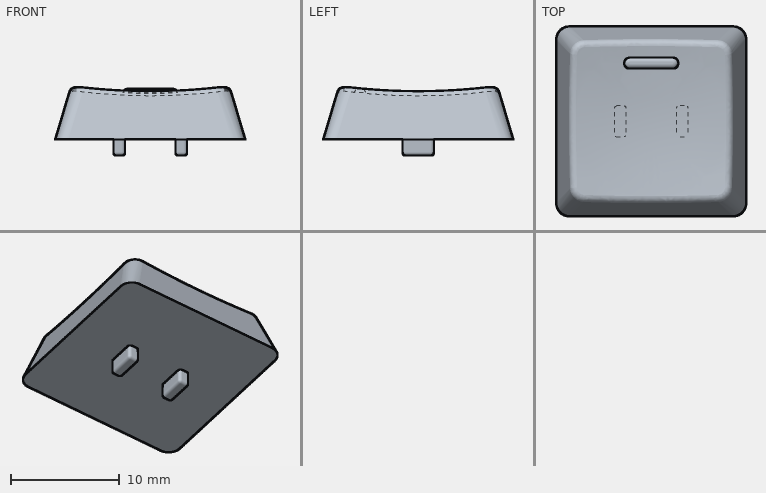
import cadquery as cq
import math

base_size = 17.5
body_height = 5.25
draft_angle = 16.6
corner_radius = 1.25
rim_radius = 0.6

dish_radius = 54.0
dish_floor = 4.01
dish_seam_angle = 45.0

bar_length = 5.0
bar_width = 1.04
bar_y = 5.36
bar_top = 4.67
bar_edge_radius = 0.43
bar_bottom = 3.0

leg_spacing = 5.7
leg_width = 1.1
leg_depth = 2.9
leg_length = 1.5
leg_edge_radius = 0.3
leg_overlap = 0.5


def rounded_square(size):
    return cq.Sketch().rect(size, size).vertices().fillet(corner_radius)


def make_body():
    top_size = base_size - 2 * body_height * math.tan(math.radians(draft_angle))
    blank = (
        cq.Workplane("XY")
        .placeSketch(
            rounded_square(base_size),
            rounded_square(top_size).moved(cq.Location(cq.Vector(0, 0, body_height))),
        )
        .loft()
    )
    dish = (
        cq.Workplane("XY")
        .sphere(dish_radius)
        .rotate((0, 0, 0), (0, 0, 1), dish_seam_angle)
        .translate((0, 0, dish_floor + dish_radius))
    )
    dished = blank.cut(dish)
    rim = dished.faces("%SPHERE").edges()
    return dished.newObject(rim.vals()).fillet(rim_radius)


def make_bar():
    return (
        cq.Workplane("XY", origin=(0, bar_y, bar_bottom))
        .slot2D(bar_length, bar_width)
        .extrude(bar_top - bar_bottom)
        .faces(">Z")
        .edges()
        .fillet(bar_edge_radius)
    )


def make_leg(x):
    return (
        cq.Workplane("XY", origin=(x, 0, -leg_length))
        .rect(leg_width, leg_depth)
        .extrude(leg_length + leg_overlap)
        .edges("|Z or <Z")
        .fillet(leg_edge_radius)
    )


result = make_body().union(make_bar())
for side in (-1, 1):
    result = result.union(make_leg(side * leg_spacing / 2))